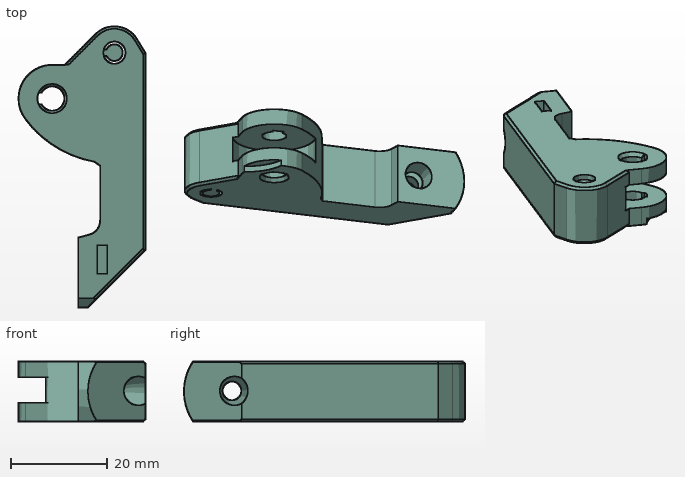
import cadquery as cq
import math

thickness = 12.5
overall_length = 58.5
overall_width = 26.45
edge_chamfer = 0.5
foot_chamfer_width = 0.6
foot_chamfer_height = 0.25

lobe_radius = 7.0
back_x = overall_width - lobe_radius
bore_diameter = 5.05
countersink_diameter = 6.1
countersink_depth = 0.9
keyway_width = 2.35

pin_x = 12.9
pin_y = 9.55
ear_radius = 5.5
ear_top_y = pin_y + ear_radius
ear_corner_y = 9.4
pin_hole_diameter = 4.55
pin_diameter = 3.5
pin_recess = 0.9
pin_web_width = 1.4

arm_x = 9.95
arm_top_y = -14.0
neck_x = 8.8
foot_x = 5.4
foot_top_y = -28.9
foot_slope = 15.0
inner_fillet = 3.0
back_corner_y = -31.5
tip_y = ear_top_y - overall_length
tip_radius = 11.1

slot_radius = 8.7
slot_bottom = 3.9
slot_height = 5.25

relief_x = -9.65
relief_y = 9.2
relief_radius = 8.8
relief_height = 1.2

screw_y = -33.45
screw_z = 6.4
screw_throat_x = 11.1
screw_throat_diameter = 3.75
screw_back_diameter = 6.6
nut_x = 10.4
nut_thickness = 2.0
nut_width = 5.85


def cylinder(x, y, z, diameter, height):
    return cq.Workplane("XY", origin=(x, y, z)).circle(diameter / 2).extrude(height)


def ear_tangent_point(x, y):
    """Point where a line from (x, y) touches the ear arc, on its outer side."""
    reach = math.hypot(x - pin_x, y - pin_y)
    angle = math.atan2(y - pin_y, x - pin_x) + math.acos(ear_radius / reach)
    return pin_x + ear_radius * math.cos(angle), pin_y + ear_radius * math.sin(angle)


def make_body():
    pin_distance = math.hypot(pin_x, pin_y)
    flank_radius = pin_distance + lobe_radius
    lobe_end = (-lobe_radius * pin_x / pin_distance, -lobe_radius * pin_y / pin_distance)
    neck = (neck_x, pin_y - math.sqrt(flank_radius**2 - (neck_x - pin_x) ** 2))
    start_angle = math.atan2(-pin_y, -pin_x)
    end_angle = math.atan2(neck[1] - pin_y, neck[0] - pin_x)
    flank_angle = (start_angle + end_angle) / 2
    flank_middle = (
        pin_x + flank_radius * math.cos(flank_angle),
        pin_y + flank_radius * math.sin(flank_angle),
    )

    diagonal = ear_radius * math.sqrt(0.5)
    ear_left = (pin_x - diagonal, pin_y + diagonal)
    ear_foot = (ear_left[0] - (ear_left[1] - lobe_radius), lobe_radius)
    ear_right = ear_tangent_point(back_x, ear_corner_y)

    inner_corner_y = foot_top_y + (arm_x - foot_x) * math.tan(math.radians(foot_slope))
    tip_x = back_x - (back_corner_y - tip_y)

    body = (
        cq.Workplane("XY")
        .moveTo(0, lobe_radius)
        .threePointArc((-lobe_radius, 0), lobe_end)
        .threePointArc(flank_middle, neck)
        .lineTo(arm_x, arm_top_y)
        .lineTo(arm_x, inner_corner_y)
        .lineTo(foot_x, foot_top_y)
        .lineTo(foot_x, tip_y)
        .lineTo(tip_x, tip_y)
        .lineTo(back_x, back_corner_y)
        .lineTo(back_x, ear_corner_y)
        .lineTo(*ear_right)
        .threePointArc((pin_x, ear_top_y), ear_left)
        .lineTo(*ear_foot)
        .close()
        .extrude(thickness)
    )
    inner_corner = cq.selectors.NearestToPointSelector((arm_x, inner_corner_y, thickness / 2))
    body = body.edges(inner_corner).fillet(inner_fillet)

    rim_points = [
        ((ear_left[0] + ear_foot[0]) / 2, (ear_left[1] + ear_foot[1]) / 2),
        (pin_x, ear_top_y),
        ((ear_right[0] + back_x) / 2, (ear_right[1] + ear_corner_y) / 2),
        (back_x, (ear_corner_y + back_corner_y) / 2),
    ]
    rim = []
    for z in (0, thickness):
        for x, y in rim_points:
            nearest = cq.selectors.NearestToPointSelector((x, y, z))
            rim.append(body.edges(nearest).val())
    return body.newObject(rim).chamfer(edge_chamfer)


def make_foot_bevel(z, inward):
    """Shallow wedge along the foot's diagonal edge; inward is the Z direction into the body."""
    overrun = 0.6
    rise = overrun * foot_chamfer_height / foot_chamfer_width
    diagonal = cq.Plane(
        origin=(back_x, back_corner_y, z),
        xDir=(math.sqrt(0.5), -math.sqrt(0.5), 0),
        normal=(-math.sqrt(0.5), -math.sqrt(0.5), 0),
    )
    reach = 2 * (back_corner_y - tip_y)
    return (
        cq.Workplane(diagonal)
        .moveTo(-foot_chamfer_width, 0)
        .lineTo(overrun, 0)
        .lineTo(overrun, inward * (foot_chamfer_height + rise))
        .close()
        .extrude(reach, both=True)
    )


def make_tip_envelope():
    """Round the foot's end across its thickness; everything above the foot stays inside."""
    arc_y = tip_y + tip_radius
    side_y = arc_y - math.sqrt(tip_radius**2 - (thickness / 2) ** 2)
    return (
        cq.Workplane("YZ", origin=(-lobe_radius, 0, 0))
        .moveTo(ear_top_y, 0)
        .lineTo(side_y, 0)
        .threePointArc((tip_y, thickness / 2), (side_y, thickness))
        .lineTo(ear_top_y, thickness)
        .close()
        .extrude(overall_width)
    )


def make_pivot_hole():
    """Bore with a countersink on both faces and a keyway on its -X side."""
    bore_radius = bore_diameter / 2
    rim_radius = countersink_diameter / 2
    hole = (
        cq.Workplane("XZ")
        .moveTo(0, 0)
        .lineTo(rim_radius, 0)
        .lineTo(bore_radius, countersink_depth)
        .lineTo(bore_radius, thickness - countersink_depth)
        .lineTo(rim_radius, thickness)
        .lineTo(0, thickness)
        .close()
        .revolve(360, (0, 0, 0), (0, 1, 0))
    )
    keyway = (
        cq.Workplane("XY")
        .box(rim_radius, keyway_width, thickness, centered=(False, True, False))
        .translate((-rim_radius, 0, 0))
        .intersect(cylinder(0, 0, 0, countersink_diameter, thickness))
    )
    return hole.union(keyway)


def make_pin():
    """Recessed pin inside the ear hole, held by a web on its -X side."""
    height = thickness - pin_recess
    web = (
        cq.Workplane("XY")
        .box(ear_radius / 2, pin_web_width, height, centered=(False, True, False))
        .translate((pin_x - ear_radius / 2, pin_y, 0))
    )
    return cylinder(pin_x, pin_y, 0, pin_diameter, height).union(web)


def make_screw_hole():
    """Two cones with equal flare, meeting at the narrow throat."""
    throat_radius = screw_throat_diameter / 2
    back_radius = screw_back_diameter / 2
    flare = (back_radius - throat_radius) / (back_x - screw_throat_x)
    front_radius = throat_radius + flare * (screw_throat_x - foot_x)
    return (
        cq.Workplane("XY", origin=(0, screw_y, screw_z))
        .moveTo(foot_x, 0)
        .lineTo(foot_x, front_radius)
        .lineTo(screw_throat_x, throat_radius)
        .lineTo(back_x, back_radius)
        .lineTo(back_x, 0)
        .close()
        .revolve(360, (0, 0, 0), (1, 0, 0))
    )


def make_nut_pocket():
    """Pocket open at the top face, deep enough to centre the nut on the screw axis."""
    bottom = screw_z - nut_width / 2
    return (
        cq.Workplane("XY", origin=(nut_x, screw_y, bottom))
        .rect(nut_thickness, nut_width)
        .extrude(thickness - bottom)
    )


lug_slot = cylinder(0, 0, slot_bottom, 2 * slot_radius, slot_height)
lug_relief = cylinder(relief_x, relief_y, 0, 2 * relief_radius, relief_height)
pin_hole = cylinder(pin_x, pin_y, 0, pin_hole_diameter, thickness)

result = (
    make_body()
    .cut(make_foot_bevel(0, 1))
    .cut(make_foot_bevel(thickness, -1))
    .intersect(make_tip_envelope())
    .cut(lug_slot)
    .cut(lug_relief)
    .cut(make_pivot_hole())
    .cut(pin_hole)
    .union(make_pin())
    .cut(make_screw_hole())
    .cut(make_nut_pocket())
)